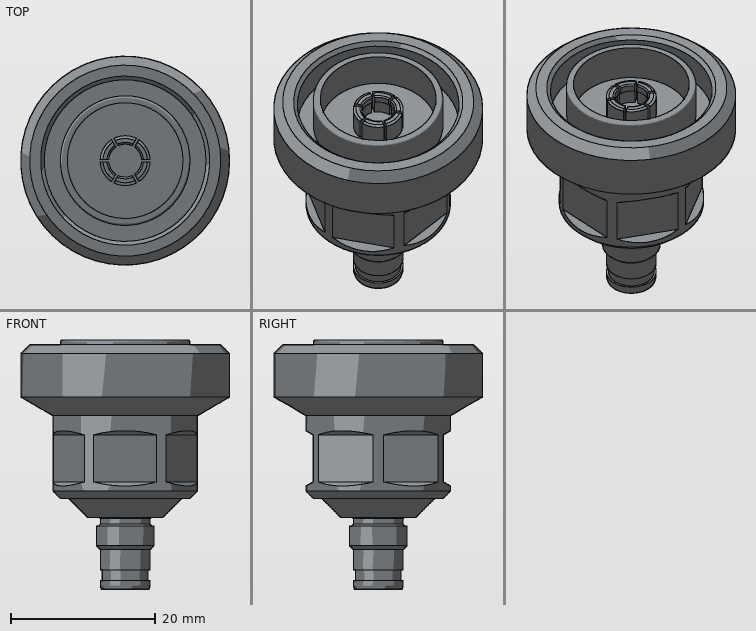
import cadquery as cq
import math

HEIGHT = 34.6

PLUG_RADIUS = 3.45
TIP_CHAMFER_WIDTH = 0.15
TIP_CHAMFER_HEIGHT = 0.52
GROOVE_RADIUS = 3.2
GROOVE_BOTTOM = 1.2
GROOVE_TOP = 2.7
COLLAR_RADIUS = 4.0
COLLAR_BOTTOM = 5.5
COLLAR_TOP = 9.03
COLLAR_CHAMFER_HEIGHT = 0.55
COLLAR_TOP_CHAMFER = 0.28

CONE_BOTTOM = 9.95
CONE_BOTTOM_RADIUS = 5.22
NECK_FLARE = 0.17
BODY_RADIUS = 10.05
BODY_BOTTOM = 12.6
BODY_CHAMFER = 1.05

FLAT_COUNT = 6
FLAT_APOTHEM = 9.03
FLAT_BOTTOM = 14.9
FLAT_TOP = 21.42
FLAT_END_ANGLE = 30.0

SHELL_RADIUS = 14.5
SHELL_CONE_BOTTOM = 24.08
SHELL_BOTTOM = 26.68
SHELL_TOP = 33.95
SHELL_CHAMFER = 1.25
SHELL_BORE_RADIUS = 11.2
SHELL_BORE_CHAMFER = 0.52

CAVITY_FLOOR = 29.3
TUBE_RADIUS = 9.0
TUBE_BORE_RADIUS = 8.03
TUBE_RIM_FILLET = 0.3

COLLET_RADIUS = 3.45
COLLET_TOP = 32.6
COLLET_CHAMFER_WIDTH = 0.38
COLLET_CHAMFER_HEIGHT = 0.15
COLLET_MOUTH_RADIUS = 2.3
COLLET_MOUTH_CHAMFER_WIDTH = 0.25
COLLET_MOUTH_CHAMFER_HEIGHT = 0.15
COLLET_LIP_BOTTOM = 31.52
COLLET_BORE_RADIUS = 2.53
SLOT_COUNT = 6
SLOT_WIDTH = 0.38

CUT_MARGIN = 0.35


def turned(points):
    """Solid of revolution about Z from (radius, height) points."""
    return cq.Workplane("XZ").polyline(points).close().revolve(360, (0, 0, 0), (0, 1, 0))


def cylinder(radius, bottom, top):
    """Solid cylinder on Z between two heights."""
    return cq.Workplane("XY").workplane(offset=bottom).circle(radius).extrude(top - bottom)


def make_outer_body():
    """Plug, tapered base, body and shell, without the cavity."""
    cone_top_radius = CONE_BOTTOM_RADIUS + BODY_BOTTOM - CONE_BOTTOM
    return turned([
        (0, 0),
        (PLUG_RADIUS - TIP_CHAMFER_WIDTH, 0),
        (PLUG_RADIUS, TIP_CHAMFER_HEIGHT),
        (PLUG_RADIUS, GROOVE_BOTTOM),
        (GROOVE_RADIUS, GROOVE_BOTTOM),
        (GROOVE_RADIUS, GROOVE_TOP),
        (PLUG_RADIUS, GROOVE_TOP),
        (PLUG_RADIUS, COLLAR_BOTTOM),
        (COLLAR_RADIUS, COLLAR_BOTTOM + COLLAR_CHAMFER_HEIGHT),
        (COLLAR_RADIUS, COLLAR_TOP - COLLAR_TOP_CHAMFER),
        (COLLAR_RADIUS - COLLAR_TOP_CHAMFER, COLLAR_TOP - COLLAR_TOP_CHAMFER),
        (PLUG_RADIUS, COLLAR_TOP),
        (PLUG_RADIUS, CONE_BOTTOM - NECK_FLARE),
        (PLUG_RADIUS + NECK_FLARE, CONE_BOTTOM),
        (CONE_BOTTOM_RADIUS, CONE_BOTTOM),
        (cone_top_radius, BODY_BOTTOM),
        (BODY_RADIUS - BODY_CHAMFER, BODY_BOTTOM),
        (BODY_RADIUS, BODY_BOTTOM + BODY_CHAMFER),
        (BODY_RADIUS, SHELL_CONE_BOTTOM),
        (SHELL_RADIUS, SHELL_BOTTOM),
        (SHELL_RADIUS, SHELL_TOP - SHELL_CHAMFER),
        (SHELL_RADIUS - SHELL_CHAMFER, SHELL_TOP),
        (0, SHELL_TOP),
    ])


def make_flat_cutter():
    """Prism that cuts one flat with sloping ends into the +X side of the body."""
    outer = BODY_RADIUS + CUT_MARGIN
    spread = (outer - FLAT_APOTHEM) * math.tan(math.radians(FLAT_END_ANGLE))
    return (
        cq.Workplane("XZ")
        .polyline([
            (FLAT_APOTHEM, FLAT_BOTTOM),
            (outer, FLAT_BOTTOM - spread),
            (outer, FLAT_TOP + spread),
            (FLAT_APOTHEM, FLAT_TOP),
        ])
        .close()
        .extrude(BODY_RADIUS, both=True)
    )


def cut_wrench_flats(body):
    cutter = make_flat_cutter()
    step = 360 / FLAT_COUNT
    for i in range(FLAT_COUNT):
        body = body.cut(cutter.rotate((0, 0, 0), (0, 0, 1), (i + 0.5) * step))
    return body


def make_shell_cavity():
    return turned([
        (0, CAVITY_FLOOR),
        (SHELL_BORE_RADIUS, CAVITY_FLOOR),
        (SHELL_BORE_RADIUS, SHELL_TOP - SHELL_BORE_CHAMFER),
        (SHELL_BORE_RADIUS + SHELL_BORE_CHAMFER, SHELL_TOP),
        (0, SHELL_TOP),
    ])


def make_tube():
    tube = cylinder(TUBE_RADIUS, CAVITY_FLOOR, HEIGHT).faces(">Z").edges().fillet(TUBE_RIM_FILLET)
    return tube.cut(cylinder(TUBE_BORE_RADIUS, CAVITY_FLOOR, HEIGHT))


def make_collet():
    collet = turned([
        (COLLET_BORE_RADIUS, CAVITY_FLOOR),
        (COLLET_RADIUS, CAVITY_FLOOR),
        (COLLET_RADIUS, COLLET_TOP - COLLET_CHAMFER_HEIGHT),
        (COLLET_RADIUS - COLLET_CHAMFER_WIDTH, COLLET_TOP),
        (COLLET_MOUTH_RADIUS + COLLET_MOUTH_CHAMFER_WIDTH, COLLET_TOP),
        (COLLET_MOUTH_RADIUS, COLLET_TOP - COLLET_MOUTH_CHAMFER_HEIGHT),
        (COLLET_MOUTH_RADIUS, COLLET_LIP_BOTTOM),
        (COLLET_BORE_RADIUS, COLLET_LIP_BOTTOM),
    ])
    slot = (
        cq.Workplane("XY")
        .workplane(offset=CAVITY_FLOOR)
        .rect(2 * (COLLET_RADIUS + CUT_MARGIN), SLOT_WIDTH)
        .extrude(COLLET_TOP - CAVITY_FLOOR)
    )
    for i in range(SLOT_COUNT // 2):
        collet = collet.cut(slot.rotate((0, 0, 0), (0, 0, 1), i * 360 / SLOT_COUNT))
    return collet


result = (
    cut_wrench_flats(make_outer_body())
    .cut(make_shell_cavity())
    .union(make_tube())
    .union(make_collet())
)